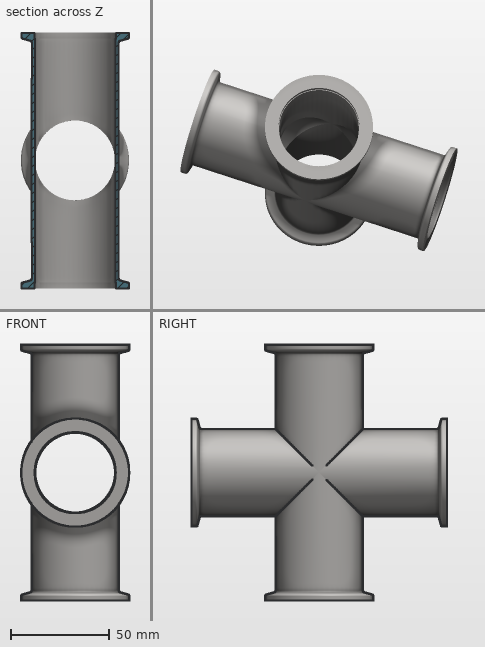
import cadquery as cq
import math

span = 130.0
flange_diameter = 55.0
tube_diameter = 44.5
bore_diameter = 40.5
recess_diameter = 41.2

rim_thickness = 2.1
taper_angle = 15.0
edge_round = 1.2
neck_fillet = 0.9
recess_depth = 3.0

half_span = span / 2
flange_radius = flange_diameter / 2
tube_radius = tube_diameter / 2


taper_slope = math.tan(math.radians(taper_angle))
radial_part = 1 - math.sin(math.radians(taper_angle))
axial_part = math.cos(math.radians(taper_angle))


def flanged_arm():
    """Solid arm on +Z, with a tapered flange blended tangentially into rim and tube."""
    rim_z = half_span - rim_thickness
    taper_outer_radius = flange_radius - edge_round * radial_part
    taper_inner_radius = tube_radius + neck_fillet * radial_part
    taper_outer_z = rim_z - edge_round * axial_part
    taper_inner_z = taper_outer_z - (taper_outer_radius - taper_inner_radius) * taper_slope
    neck_z = taper_inner_z - neck_fillet * axial_part
    profile = (
        cq.Workplane("XZ")
        .lineTo(tube_radius, 0)
        .lineTo(tube_radius, neck_z)
        .radiusArc((taper_inner_radius, taper_inner_z), neck_fillet)
        .lineTo(taper_outer_radius, taper_outer_z)
        .radiusArc((flange_radius, rim_z), -edge_round)
        .lineTo(flange_radius, half_span)
        .lineTo(0, half_span)
        .close()
    )
    return profile.revolve(360, (0, 0, 0), (0, 1, 0))


def arm_bore():
    """Through bore along Z with a shallow recess at both ends."""
    bore = cq.Workplane("XY").circle(bore_diameter / 2).extrude(half_span, both=True)
    for side in (-1, 1):
        recess = (
            cq.Workplane("XY")
            .workplane(offset=side * half_span)
            .circle(recess_diameter / 2)
            .extrude(-side * recess_depth)
        )
        bore = bore.union(recess)
    return bore


def turned(body, angle):
    """Copy of a body turned about the X axis."""
    return body.rotate((0, 0, 0), (1, 0, 0), angle)


arm = flanged_arm()
result = arm
for angle in (90, 180, 270):
    result = result.union(turned(arm, angle))

bore = arm_bore()
result = result.cut(bore.union(turned(bore, 90)))